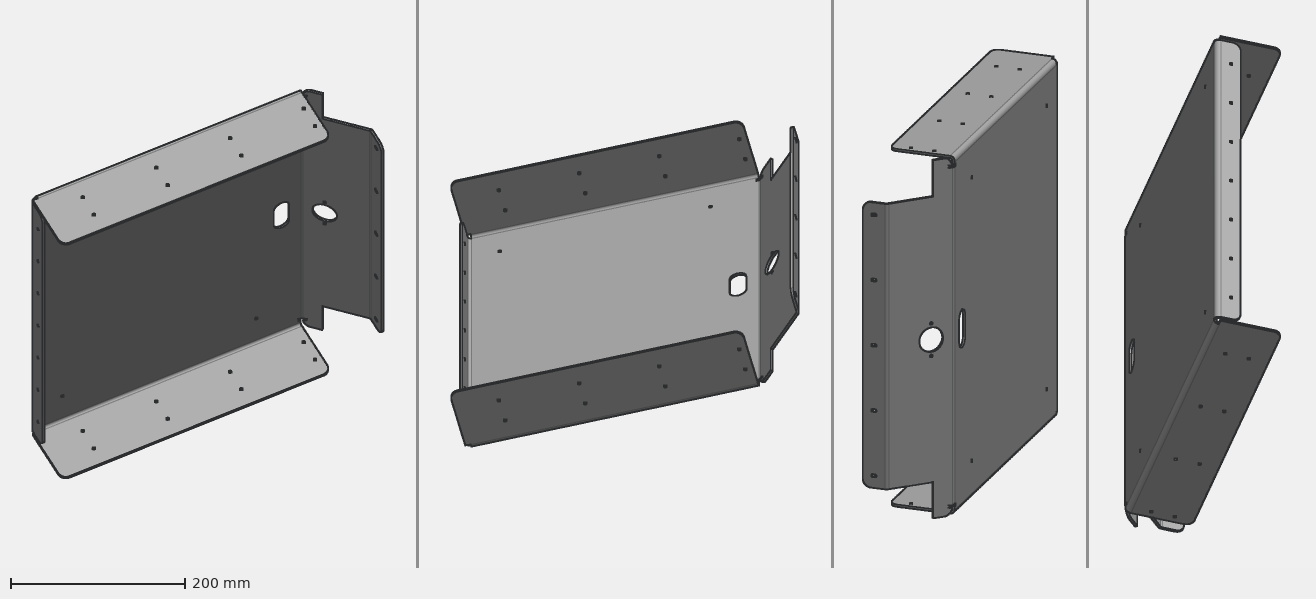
import cadquery as cq
import math

thickness = 3.0
inner_radius = 3.3
outer_radius = inner_radius + thickness
slope_angle = 45.0
sin_slope = math.sin(math.radians(slope_angle))
cos_slope = math.cos(math.radians(slope_angle))

total_x = 89.74
total_y = 410.0
height = 439.1
half_height = height / 2
corner_radius = 10.0

panel_end_y = 347.0
side_flange_reach = 80.5
front_flange_reach = 30.5

tab_end_y = 368.1
lip_height = 350.0
slope_start = (outer_radius * (1 - cos_slope), panel_end_y + outer_radius * sin_slope)
slope_rise_y = total_y - outer_radius * (1 - sin_slope) - slope_start[1]
slope_length = slope_rise_y / cos_slope
tab_length = (tab_end_y - slope_start[1]) / cos_slope

relief_depth = 12.6
relief_height = 3.0
relief_panel_reach = 3.0
relief_wall_reach = 3.0

fixing_diameter = 3.3
front_hole_x = 19.0
front_hole_pitch = 60.0
front_hole_count = 7
side_hole_diameter = 3.4
side_hole_columns = (28.5, 57.0)
side_hole_first_y = 53.0
side_hole_pitch = 95.0
side_hole_count = 4
panel_hole_diameter = 3.5
panel_hole_span_y = 250.0
panel_hole_span_z = 347.5
panel_hole_center_y = 165.0
lip_slot_width = 3.5
lip_slot_length = 6.5
lip_slot_x = 76.2
lip_slot_pitch = 80.0
lip_slot_count = 5
grip_slot_y = 322.5
grip_slot_width = 20.0
grip_slot_length = 46.0
lock_hole_y = 370.0
lock_hole_diameter = 30.0
lock_screw_spacing = 40.0
lock_hole_distance = (lock_hole_y - slope_start[1]) / cos_slope

slope_plane = cq.Plane(
    origin=(slope_start[0], slope_start[1], 0),
    xDir=(sin_slope, cos_slope, 0),
    normal=(cos_slope, -sin_slope, 0),
)


def block(x_range, y_range, z_range):
    """Box between the given limits along each axis."""
    size = [high - low for low, high in (x_range, y_range, z_range)]
    corner = (x_range[0], y_range[0], z_range[0])
    return cq.Workplane("XY").box(*size, centered=False).translate(corner)


def bend(center, start_angle, sweep, plane, length):
    """Curved strip of sheet, extruded symmetrically from the plane."""
    def point(radius, angle):
        turn = math.radians(angle)
        return (center[0] + radius * math.cos(turn), center[1] + radius * math.sin(turn))

    middle = start_angle + sweep / 2
    end = start_angle + sweep
    return (
        cq.Workplane(plane)
        .moveTo(*point(outer_radius, start_angle))
        .threePointArc(point(outer_radius, middle), point(outer_radius, end))
        .lineTo(*point(inner_radius, end))
        .threePointArc(point(inner_radius, middle), point(inner_radius, start_angle))
        .close()
        .extrude(length / 2, both=True)
    )


def drill(plane, points, diameter, start, end):
    """Cylinders at the points, between two offsets along the plane normal."""
    return (
        cq.Workplane(plane)
        .workplane(offset=start)
        .pushPoints(points)
        .circle(diameter / 2)
        .extrude(end - start)
    )


def spaced(count, pitch):
    """Evenly spaced positions centred on zero."""
    return [(i - (count - 1) / 2) * pitch for i in range(count)]


flat_half_height = half_height - outer_radius


def make_panel():
    return block(
        (0, thickness), (outer_radius, panel_end_y), (-flat_half_height, flat_half_height)
    )


def make_front_flange():
    flange = block(
        (outer_radius, front_flange_reach), (0, thickness), (-flat_half_height, flat_half_height)
    ).edges(">X and |Y").fillet(corner_radius)
    return flange.union(bend((outer_radius, outer_radius), 180, 90, "XY", 2 * flat_half_height))


def make_top_flange():
    flange = block(
        (outer_radius, side_flange_reach),
        (0, panel_end_y),
        (half_height - thickness, half_height),
    ).edges(">X and |Z").fillet(corner_radius)
    curve_length = panel_end_y - outer_radius
    curve = bend((outer_radius, flat_half_height), 90, 90, "XZ", curve_length)
    return flange.union(curve.translate((0, outer_radius + curve_length / 2, 0)))


def make_sloped_wall():
    half_lip = lip_height / 2
    corner_shift = corner_radius * (1 - math.sqrt(0.5))
    top = half_height
    return (
        cq.Workplane(slope_plane)
        .moveTo(0, corner_radius - top)
        .threePointArc((corner_shift, corner_shift - top), (corner_radius, -top))
        .lineTo(tab_length, -top)
        .lineTo(tab_length, -half_lip)
        .lineTo(slope_length, -half_lip)
        .lineTo(slope_length, half_lip)
        .lineTo(tab_length, half_lip)
        .lineTo(tab_length, top)
        .lineTo(corner_radius, top)
        .threePointArc((corner_shift, top - corner_shift), (0, top - corner_radius))
        .close()
        .extrude(thickness)
    )


def make_rear_bend():
    return bend((outer_radius, panel_end_y), 180, -slope_angle, "XY", height - 2 * relief_depth)


def make_lip():
    lip_start_x = slope_start[0] + slope_length * sin_slope + outer_radius * cos_slope
    lip = block(
        (lip_start_x, total_x), (total_y - thickness, total_y), (-lip_height / 2, lip_height / 2)
    ).edges(">X and |Y").fillet(corner_radius)
    curve_center = (lip_start_x, total_y - outer_radius)
    return lip.union(bend(curve_center, 90, 90 - slope_angle, "XY", lip_height))


def relief_slot():
    """Slot across the upper end of the rear bend."""
    wall_reach_y = slope_start[1] + relief_wall_reach * cos_slope
    slot_bottom = half_height - relief_depth
    return block(
        (0, outer_radius),
        (panel_end_y - relief_panel_reach, wall_reach_y),
        (slot_bottom, slot_bottom + relief_height),
    )


def front_holes():
    points = [(front_hole_x, z) for z in spaced(front_hole_count, front_hole_pitch)]
    return drill("XZ", points, fixing_diameter, -thickness, 0)


def lip_slots():
    points = [(lip_slot_x, z) for z in spaced(lip_slot_count, lip_slot_pitch)]
    return (
        cq.Workplane("XZ")
        .workplane(offset=-total_y)
        .pushPoints(points)
        .slot2D(lip_slot_length, lip_slot_width)
        .extrude(thickness)
    )


def side_holes():
    rows = [side_hole_first_y + i * side_hole_pitch for i in range(side_hole_count)]
    points = [(x, y) for x in side_hole_columns for y in rows]
    return drill("XY", points, side_hole_diameter, -half_height, half_height)


def panel_holes():
    rows = spaced(2, panel_hole_span_z)
    points = [(panel_hole_center_y + y, z) for y in spaced(2, panel_hole_span_y) for z in rows]
    return drill("YZ", points, panel_hole_diameter, 0, thickness)


def grip_slot():
    return (
        cq.Workplane("YZ")
        .center(grip_slot_y, 0)
        .slot2D(grip_slot_length, grip_slot_width, 90)
        .extrude(thickness)
    )


def lock_holes():
    screws = [(lock_hole_distance, offset) for offset in spaced(2, lock_screw_spacing)]
    main_hole = drill(slope_plane, [(lock_hole_distance, 0)], lock_hole_diameter, 0, thickness)
    return main_hole.union(drill(slope_plane, screws, fixing_diameter, 0, thickness))


top_flange = make_top_flange()
upper_relief = relief_slot()

result = (
    make_panel()
    .union(make_front_flange())
    .union(top_flange)
    .union(top_flange.mirror("XY"))
    .union(make_rear_bend())
    .union(make_sloped_wall())
    .union(make_lip())
    .cut(upper_relief)
    .cut(upper_relief.mirror("XY"))
    .cut(front_holes())
    .cut(lip_slots())
    .cut(side_holes())
    .cut(panel_holes())
    .cut(grip_slot())
    .cut(lock_holes())
)